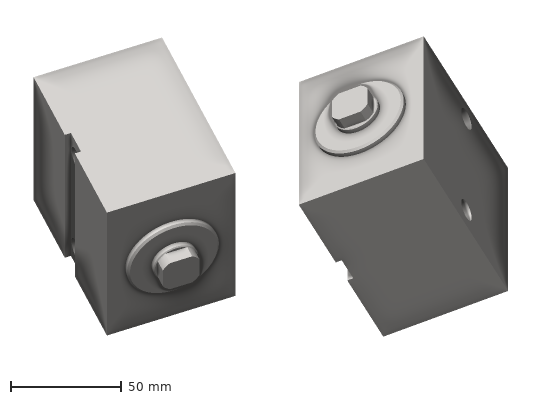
import cadquery as cq

housing_length = 88.0
housing_depth = 63.0
housing_height = 85.0

slot_center_x = 43.5
slot_width = 12.0
slot_depth = 3.0
mount_hole_diameter = 10.6
mount_hole_spacing = 63.0

gland_diameter = 45.0
gland_thickness = 3.2
gland_chamfer = 1.0

rod_diameter = 22.0
rod_chamfer = 0.5
shank_length = 6.0
square_length = 6.0
square_across_flats = 18.0
square_corner_diameter = rod_diameter - 2 * rod_chamfer


def x_cylinder(start_x, diameter, length):
    """Cylinder along +X on the rod axis."""
    return cq.Workplane("YZ", origin=(start_x, 0, 0)).circle(diameter / 2).extrude(length)


def make_housing():
    block = cq.Workplane("XY").box(
        housing_length, housing_depth, housing_height, centered=(False, True, True)
    )
    front_y = -housing_depth / 2

    slot = cq.Workplane("XY", origin=(slot_center_x, front_y, 0)).box(
        slot_width, 2 * slot_depth, housing_height
    )

    holes = (
        cq.Workplane("XZ", origin=(slot_center_x, 0, 0))
        .rarray(1, mount_hole_spacing, 1, 2)
        .circle(mount_hole_diameter / 2)
        .extrude(housing_depth, both=True)
    )
    return block.cut(slot).cut(holes)


def make_gland():
    ring = x_cylinder(housing_length, gland_diameter, gland_thickness)
    ring = ring.faces(">X").edges().chamfer(gland_chamfer)
    bore = x_cylinder(housing_length, rod_diameter, gland_thickness)
    return ring.cut(bore)


def make_rod():
    shank = x_cylinder(housing_length, rod_diameter, shank_length)
    shank = shank.faces(">X").edges().chamfer(rod_chamfer)

    square_start_x = housing_length + shank_length
    corners = x_cylinder(square_start_x, square_corner_diameter, square_length)
    flats = (
        cq.Workplane("YZ", origin=(square_start_x, 0, 0))
        .rect(square_across_flats, square_across_flats)
        .extrude(square_length)
    )
    return shank.union(corners.intersect(flats))


housing = make_housing()
gland = make_gland()
rod = make_rod()

result = cq.Compound.makeCompound([housing.val(), gland.val(), rod.val()])